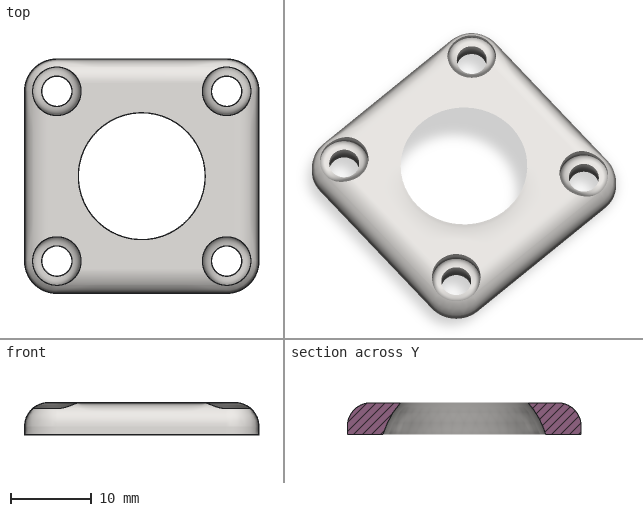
import cadquery as cq

side = 29.0
thickness = 4.0
corner_radius = 4.0
edge_round = 3.0

dome_radius = 10.5
dome_center_drop = 3.0
screw_diameter = 3.7
head_diameter = 6.0
head_depth = 1.5

screw_spacing = side - 2 * corner_radius


def rounded_plate():
    """Square plate with round corners and a rounded top edge."""
    plate = cq.Workplane("XY").rect(side, side).extrude(thickness)
    plate = plate.edges("|Z").fillet(corner_radius)
    return plate.faces(">Z").edges().fillet(edge_round)


def cut_window(plate):
    """Central opening with a spherical wall, widening toward the bottom face."""
    dome = cq.Workplane("XY").sphere(dome_radius).translate((0, 0, -dome_center_drop))
    return plate.cut(dome)


def cut_screw_holes(plate):
    """Four counterbored holes, one at each corner."""
    centers = cq.Workplane("XY").rect(screw_spacing, screw_spacing, forConstruction=True).vertices()
    shanks = centers.circle(screw_diameter / 2).extrude(thickness)
    floor = cq.Workplane("XY").workplane(offset=thickness - head_depth)
    head_centers = floor.rect(screw_spacing, screw_spacing, forConstruction=True).vertices()
    heads = head_centers.circle(head_diameter / 2).extrude(head_depth)
    return plate.cut(shanks).cut(heads)


result = cut_screw_holes(cut_window(rounded_plate()))